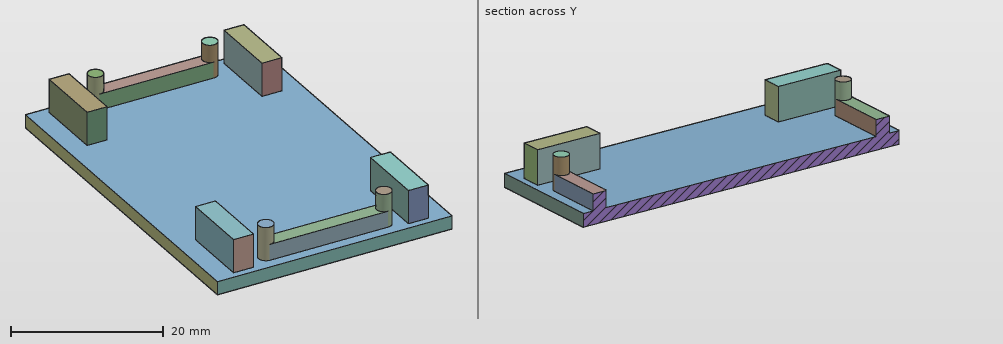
import cadquery as cq

plate_length = 51.0
plate_width = 35.4
plate_thickness = 2.0
total_height = 7.0
post_height = total_height - plate_thickness

block_length = 10.1
block_width = 3.0
block_end_margin = 1.0
block_side_margin = 3.0

pin_diameter = 2.2
pin_end_margin = 2.65
left_pin_spacing = 17.25
right_pin_spacing = 17.8
rail_height = 2.4


def make_plate():
    return cq.Workplane("XY").box(
        plate_length, plate_width, plate_thickness, centered=(True, True, False)
    )


def make_corner_blocks():
    spacing_x = plate_length - 2 * block_end_margin - block_length
    spacing_y = plate_width - 2 * block_side_margin - block_width
    return (
        cq.Workplane("XY", origin=(0, 0, plate_thickness))
        .rarray(spacing_x, spacing_y, 2, 2)
        .rect(block_length, block_width)
        .extrude(post_height)
    )


def make_pin_pair(x, spacing):
    """Two upright pins along Y with a rail running between their axes."""
    base = cq.Workplane("XY", origin=(x, 0, plate_thickness))
    pins = (
        base.pushPoints([(0, -spacing / 2), (0, spacing / 2)])
        .circle(pin_diameter / 2)
        .extrude(post_height)
    )
    rail = base.rect(pin_diameter, spacing).extrude(rail_height)
    return pins.union(rail)


pin_x = plate_length / 2 - pin_end_margin

result = (
    make_plate()
    .union(make_corner_blocks())
    .union(make_pin_pair(-pin_x, left_pin_spacing))
    .union(make_pin_pair(pin_x, right_pin_spacing))
)